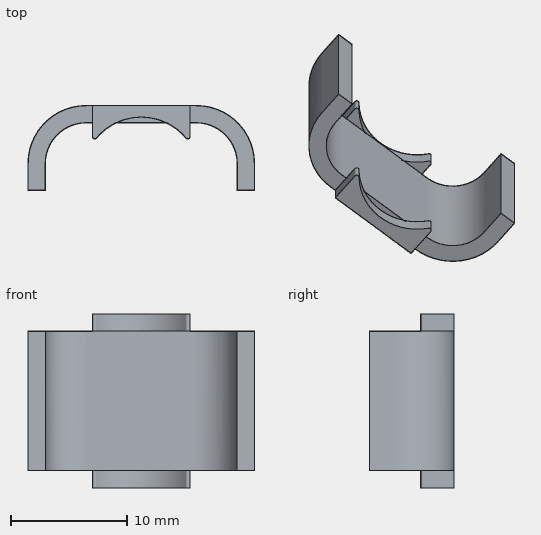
import cadquery as cq
import math

BAND_WIDTH = 19.5
BAND_DEPTH = 7.3
BAND_HEIGHT = 12.0
WALL = 1.5
OUTER_BEND_RADIUS = 5.0
INNER_BEND_RADIUS = OUTER_BEND_RADIUS - WALL

TAB_WIDTH = 8.4
TAB_THICKNESS = 1.5
CRADLE_RADIUS = 5.0
CRADLE_WEB = 1.0
TIP_RADIUS = 0.2

BACK_Y = 0.0
LEG_END_Y = BACK_Y - BAND_DEPTH


def make_band():
    """Rectangular U with rounded back corners and a constant wall."""
    outer = (
        cq.Workplane("XY")
        .box(BAND_WIDTH, BAND_DEPTH, BAND_HEIGHT)
        .translate((0, (BACK_Y + LEG_END_Y) / 2, 0))
        .edges("|Z and >Y")
        .fillet(OUTER_BEND_RADIUS)
    )
    inner = (
        cq.Workplane("XY")
        .box(BAND_WIDTH - 2 * WALL, BAND_DEPTH, BAND_HEIGHT)
        .translate((0, (BACK_Y + LEG_END_Y) / 2 - WALL, 0))
        .edges("|Z and >Y")
        .fillet(INNER_BEND_RADIUS)
    )
    return outer.cut(inner)


def make_tab(bottom_z):
    """Plate with a concave cradle whose two pointed tips are rounded."""
    half_width = TAB_WIDTH / 2
    cradle_top_y = BACK_Y - CRADLE_WEB
    cradle_center_y = cradle_top_y - CRADLE_RADIUS
    tip_y = cradle_center_y + math.sqrt(CRADLE_RADIUS**2 - half_width**2)
    return (
        cq.Workplane("XY")
        .workplane(offset=bottom_z)
        .moveTo(-half_width, BACK_Y)
        .lineTo(-half_width, tip_y)
        .threePointArc((0, cradle_top_y), (half_width, tip_y))
        .lineTo(half_width, BACK_Y)
        .close()
        .extrude(TAB_THICKNESS)
        .edges("|Z and <Y")
        .fillet(TIP_RADIUS)
    )


result = make_band()
for tab_bottom_z in (BAND_HEIGHT / 2, -BAND_HEIGHT / 2 - TAB_THICKNESS):
    result = result.union(make_tab(tab_bottom_z))